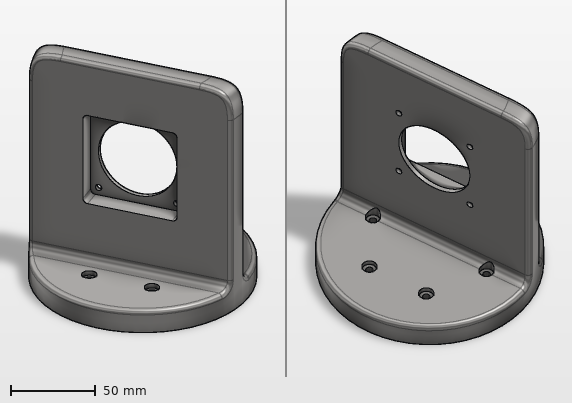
import cadquery as cq

base_diameter = 135.0
base_radius = base_diameter / 2
base_thickness = 15.0

overall_height = 150.0
plate_back_y = -5.0
plate_thickness = 15.0
plate_front_y = plate_back_y - plate_thickness

root_radius = 6.0
corner_reach = 20.0
corner_pull = 0.77
edge_radius = 3.0

window_z = 84.0
pocket_size = 60.0
pocket_corner_radius = 3.0
pocket_floor_thickness = 3.0
window_diameter = 50.0
window_screw_pitch = 50.0
window_screw_diameter = 4.0

mount_hole_count = 6
mount_circle_radius = 40.0
mount_hole_diameter = 4.5
counterbore_diameter = 9.0
counterbore_depth = 3.0


def make_envelope():
    """Round envelope whose revolved shoulder gives the plate its soft top corners."""
    shoulder_z = overall_height - corner_reach
    top_radius = base_radius - corner_reach
    handle = corner_pull * corner_reach
    shoulder = [
        (base_radius, shoulder_z + handle),
        (top_radius + handle, overall_height),
        (top_radius, overall_height),
    ]
    return (
        cq.Workplane("XZ")
        .lineTo(base_radius, 0)
        .lineTo(base_radius, shoulder_z)
        .bezier(shoulder, includeCurrent=True)
        .lineTo(0, overall_height)
        .close()
        .revolve(360, (0, 0), (0, 1))
    )


def make_body():
    """Base and plate: an inverted-T profile along X, trimmed to the round envelope."""
    profile = (
        cq.Workplane("YZ")
        .moveTo(-base_radius, 0)
        .lineTo(base_radius, 0)
        .lineTo(base_radius, base_thickness)
        .lineTo(plate_back_y + root_radius, base_thickness)
        .radiusArc((plate_back_y, base_thickness + root_radius), root_radius)
        .lineTo(plate_back_y, overall_height)
        .lineTo(plate_front_y, overall_height)
        .lineTo(plate_front_y, base_thickness + root_radius)
        .radiusArc((plate_front_y - root_radius, base_thickness), root_radius)
        .lineTo(-base_radius, base_thickness)
        .close()
        .extrude(base_radius, both=True)
    )
    return profile.intersect(make_envelope())


def round_rim(body):
    """Round the whole rim.

    Each long top edge runs on tangentially down the plate and around the base,
    so filleting these two edges rounds everything but the underside.
    """
    return body.faces(">Z").edges("|X").fillet(edge_radius)


def cut_window(body):
    """Cut the pocket from the front face, then the window and its screw holes through its floor."""
    front = cq.Workplane("XZ", origin=(0, plate_front_y, window_z))
    pocket = (
        front.rect(pocket_size, pocket_size)
        .extrude(-(plate_thickness - pocket_floor_thickness))
        .edges("|Y")
        .fillet(pocket_corner_radius)
    )
    window = front.circle(window_diameter / 2).extrude(-plate_thickness)
    screw_holes = (
        front.rect(window_screw_pitch, window_screw_pitch, forConstruction=True)
        .vertices()
        .circle(window_screw_diameter / 2)
        .extrude(-plate_thickness)
    )
    return body.cut(pocket).cut(window).cut(screw_holes)


def cut_mounting_holes(body):
    """Cut the counterbored holes through the base."""
    bolt_circle = cq.Workplane("XY").polarArray(mount_circle_radius, 0, 360, mount_hole_count)
    holes = bolt_circle.circle(mount_hole_diameter / 2).extrude(base_thickness)
    counterbore_height = counterbore_depth + root_radius
    counterbores = (
        bolt_circle.circle(counterbore_diameter / 2)
        .extrude(counterbore_height)
        .translate((0, 0, base_thickness - counterbore_depth))
    )
    return body.cut(holes).cut(counterbores)


result = cut_mounting_holes(cut_window(round_rim(make_body())))